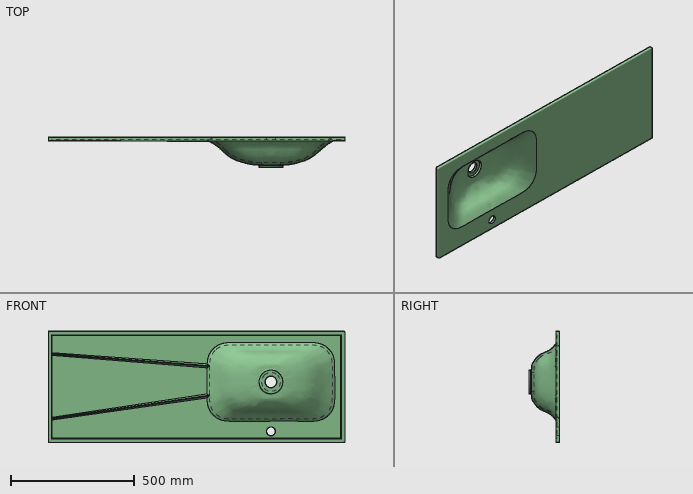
import cadquery as cq
import math


length = 1200.0
width = 450.0
rim_depth = 15.0
top_edge_radius = 3.0
right_corner_radius = 6.0

floor_depth = 10.0
left_rim = 12.0
rim = 15.0
recess_wall_run = 3.0

bowl_x = 300.0
bowl_z = 20.0
bowl_half_length = 258.0
bowl_half_width = 159.0
bowl_corner_radius = 85.0
bowl_bottom_depth = 113.0
drain_root_margin = 1.0
wall = 10.0
edge_steps = 3
corner_steps = 4

total_depth = 124.0
drain_radius = 48.0
drain_flare = 9.0
drain_flare_depth = 5.0
drain_bore_radius = 23.0
drain_seat_radius = 38.0

tap_hole_radius = 17.5
tap_hole_z = -180.0

rib_crest_width = 3.0
rib_foot_width = 18.0
rib_height = 9.0
rib_start_x = left_rim - length / 2
rib_end_x = 66.0
rib_start_depth = 14.5
rib_end_depth = 18.0
rib_z_ends = [(133.0, 83.0), (-129.0, -33.0)]

drain_root_radius = drain_radius + drain_flare
drain_root_half = drain_root_radius + drain_root_margin

bowl_sections = [
    (floor_depth, bowl_half_length, bowl_half_width, bowl_corner_radius),
    (20.0, 245.0, 149.0, 86.0),
    (50.0, 202.0, 124.0, 88.0),
    (75.0, 175.0, 113.0, 88.0),
    (99.0, 129.0, 91.0, 80.0),
    (108.5, 94.0, 77.0, 70.0),
    (bowl_bottom_depth, drain_root_half, drain_root_half, drain_root_radius),
]


def plane_at(depth, x=0.0, z=0.0):
    """Workplane facing -Y at the given depth below the top face."""
    return cq.Workplane("XZ", origin=(x, -depth, z))


def half_outline(half_length, half_width, radius, side):
    """Points of half a rounded rectangle, from its upper middle round one side to its lower middle."""
    straight_x = half_length - radius
    straight_z = half_width - radius
    upper = [(side * straight_x * i / edge_steps, half_width) for i in range(edge_steps)]
    for i in range(corner_steps + 1):
        angle = math.radians(90 * i / corner_steps)
        upper.append((side * (straight_x + radius * math.sin(angle)), straight_z + radius * math.cos(angle)))
    lower = [(x, -z) for x, z in reversed(upper)]
    return upper + [(side * half_length, 0)] + lower


def rounded_rectangle(depth, half_length, half_width, radius):
    """Bowl section as a wire of two smooth halves that meet at the middle of the bowl length."""
    right = half_outline(half_length, half_width, radius, 1)
    left = half_outline(half_length, half_width, radius, -1)[::-1]
    return (
        plane_at(depth, bowl_x, bowl_z)
        .moveTo(*right[0])
        .spline(right[1:], tangents=[(1, 0), (-1, 0)], includeCurrent=True)
        .spline(left[1:], tangents=[(-1, 0), (1, 0)], includeCurrent=True)
        .close()
        .wire()
        .val()
    )


def loft_sections(sections):
    wires = [rounded_rectangle(*section) for section in sections]
    return cq.Workplane(cq.Solid.makeLoft(wires))


def make_slab():
    slab = plane_at(0).rect(length, width).extrude(rim_depth)
    slab = slab.edges("|Y and >X").fillet(right_corner_radius)
    slab = slab.faces(">Y").edges().fillet(top_edge_radius)
    recess_length = length - left_rim - rim
    recess_width = width - 2 * rim
    recess_depth = rim_depth - floor_depth
    recess = (
        plane_at(rim_depth, (left_rim - rim) / 2)
        .rect(recess_length, recess_width)
        .extrude(-recess_depth, taper=math.degrees(math.atan2(recess_wall_run, recess_depth)))
    )
    return slab.cut(recess)


def make_bowl_outside():
    return loft_sections(bowl_sections)


def make_bowl_inside():
    """Hollow of the bowl: the wall is taken off sideways at the edge and downwards at the bottom."""
    sections = []
    for depth, half_length, half_width, radius in bowl_sections:
        fall = (depth - floor_depth) / (bowl_bottom_depth - floor_depth)
        inset = wall * (1 - fall)
        sections.append((depth - wall, half_length - inset, half_width - inset, radius - inset))
    return loft_sections(sections)


def make_drain():
    """Turned drain boss with a concave flare where it leaves the bowl."""
    root_depth = bowl_bottom_depth
    neck_depth = root_depth + drain_flare_depth
    flare_bend = 1 - math.sqrt(0.5)
    return (
        cq.Workplane("XY", origin=(bowl_x, 0, bowl_z))
        .moveTo(0, -(root_depth - wall))
        .lineTo(drain_root_radius, -(root_depth - wall))
        .lineTo(drain_root_radius, -root_depth)
        .threePointArc(
            (drain_radius + drain_flare * flare_bend, -(neck_depth - drain_flare_depth * (1 - flare_bend))),
            (drain_radius, -neck_depth),
        )
        .lineTo(drain_radius, -total_depth)
        .lineTo(0, -total_depth)
        .close()
        .revolve(360, (0, 0, 0), (0, 1, 0))
    )


def make_rib(start_z, end_z):
    """Rib with sloping flanks and a narrow flat crest that rises away from the floor towards the bowl."""
    start = cq.Vector(rib_start_x, -rib_start_depth, start_z)
    end = cq.Vector(rib_end_x, -rib_end_depth, end_z)
    run = end - start
    across = cq.Vector(0, 1, 0).cross(run)
    foot_half_width = rib_foot_width / 2
    profile_plane = cq.Plane(origin=start, xDir=across, normal=run)
    return (
        cq.Workplane(profile_plane)
        .moveTo(-rib_crest_width / 2, 0)
        .lineTo(rib_crest_width / 2, 0)
        .lineTo(foot_half_width, rib_height)
        .lineTo(-foot_half_width, rib_height)
        .close()
        .extrude(run.Length)
    )


def make_hole(radius, z, depth):
    return plane_at(0, bowl_x, z).circle(radius).extrude(depth)


result = make_slab()
for rib_z in rib_z_ends:
    result = result.union(make_rib(*rib_z))
result = result.union(make_bowl_outside()).union(make_drain())
result = result.cut(make_bowl_inside())
result = result.cut(make_hole(drain_seat_radius, bowl_z, total_depth - wall))
result = result.cut(make_hole(drain_bore_radius, bowl_z, total_depth))
result = result.cut(make_hole(tap_hole_radius, tap_hole_z, rim_depth))